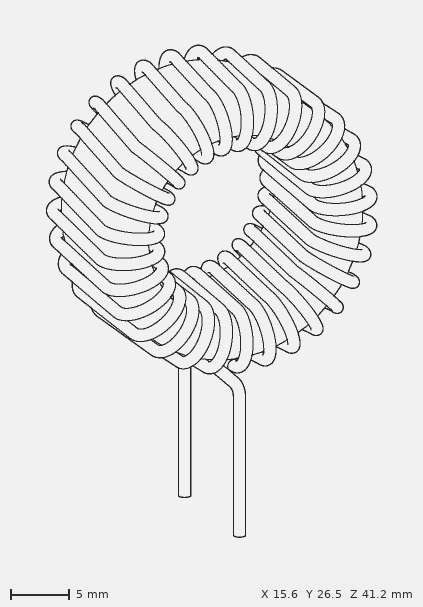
import cadquery as cq
import math

wire_diameter = 1.07
core_outer_diameter = 24.15
core_inner_diameter = 16.5
core_width = 11.55
core_fillet = 1.1
turn_count = 30
bend_lean = 0.5
winding_outer_diameter = 26.53
winding_width = 15.6
pin_bottom_z = -27.93
pin_x = 5.7
left_elbow_radius = 0.85
right_elbow_radius = 1.05
right_corner_z = -14.38

wire_radius = wire_diameter / 2
half_step = 180 / turn_count
outer_run_radius = winding_outer_diameter / 2 - wire_radius
run_end_x = core_width / 2 - core_fillet
bend_radius = winding_width / 2 - wire_radius - run_end_x
inner_run_radius = outer_run_radius - 2 * bend_radius

x_axis = cq.Vector(1, 0, 0)
down = cq.Vector(0, 0, -1)


def wire_centre(x, radius, angle):
    """Point on the wire, with the angle measured about X from straight down towards +Y."""
    turn = math.radians(angle)
    return cq.Vector(x, radius * math.sin(turn), -radius * math.cos(turn))


def bend_ends(side, angle):
    """Outer and inner end of the bend on the face at side (-1 or +1 along X)."""
    lean = -side * bend_lean
    outer = wire_centre(side * run_end_x, outer_run_radius, angle + lean)
    inner = wire_centre(side * run_end_x, inner_run_radius, angle - lean)
    return outer, inner


def straight_run(start, end):
    """Oblique tube whose two ends lie square to the X axis."""
    section = cq.Wire.makeCircle(wire_radius, start, x_axis)
    return cq.Solid.extrudeLinear(section, [], end - start)


def half_turn_bend(side, outer, inner):
    """Semicircular bend from outer to inner, bulging away from the core along X."""
    section = cq.Wire.makeCircle(wire_radius, outer, x_axis)
    pivot = (outer + inner) * 0.5
    hinge = (outer - pivot).cross(x_axis * side)
    return cq.Solid.revolve(section, [], 180, pivot, pivot + hinge)


def make_core():
    """Ring around the X axis with all four circular edges rounded."""
    return (
        cq.Workplane("YZ", origin=(-core_width / 2, 0, 0))
        .circle(core_outer_diameter / 2)
        .circle(core_inner_diameter / 2)
        .extrude(core_width)
        .edges()
        .fillet(core_fillet)
    )


def make_winding():
    """Continuous wire from the first bend on +X to the last bend on -X."""
    pieces = []
    for turn in range(turn_count):
        right_angle = 2 * turn * half_step
        right_outer, right_inner = bend_ends(1, right_angle)
        left_outer, left_inner = bend_ends(-1, right_angle + half_step)
        if turn > 0:
            pieces.append(straight_run(previous_outer, right_outer))
        pieces.append(half_turn_bend(1, right_outer, right_inner))
        pieces.append(straight_run(right_inner, left_inner))
        pieces.append(half_turn_bend(-1, left_outer, left_inner))
        previous_outer = left_outer
    return cq.Workplane(pieces[0].fuse(*pieces[1:], glue=True).Solids()[0])


def make_lead(joint, corner, elbow_radius):
    """Wire from its joint with the winding to the corner, around an elbow and straight down as a pin."""
    run = (corner - joint).normalized()
    setback = elbow_radius * math.tan(run.getAngle(down) / 2)
    elbow_start = corner - run * setback
    elbow_end = corner + down * setback
    run_start = joint - run * wire_radius
    path = cq.Wire.assembleEdges(
        [
            cq.Edge.makeLine(run_start, elbow_start),
            cq.Edge.makeTangentArc(elbow_start, run, elbow_end),
            cq.Edge.makeLine(elbow_end, cq.Vector(corner.x, corner.y, pin_bottom_z)),
        ]
    )
    section = cq.Workplane(cq.Plane(origin=run_start.toTuple(), normal=run.toTuple())).circle(wire_radius)
    lead = section.sweep(path)
    overrun = (
        cq.Workplane("YZ", origin=joint.toTuple())
        .circle(wire_diameter)
        .extrude(math.copysign(wire_diameter, joint.x))
    )
    return lead.cut(overrun)


core = make_core()
winding = make_winding()

first_joint, _ = bend_ends(1, 0)
last_joint, _ = bend_ends(-1, -half_step)
right_lead = make_lead(last_joint, cq.Vector(pin_x, 0, right_corner_z), right_elbow_radius)
left_lead = make_lead(first_joint, cq.Vector(-pin_x, 0, -outer_run_radius), left_elbow_radius).cut(right_lead)

result = cq.Compound.makeCompound([core.val(), winding.val(), left_lead.val(), right_lead.val()])